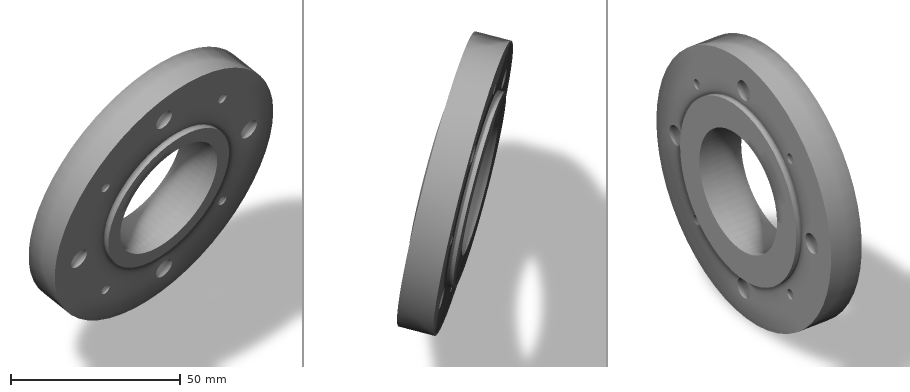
import cadquery as cq

flange_diameter = 90.0
total_thickness = 15.0
boss_height = 2.0
flange_thickness = total_thickness - 2 * boss_height

large_boss_diameter = 59.85
small_boss_diameter = 49.8
bore_diameter = 40.0

hole_count = 4
large_hole_diameter = 6.6
large_hole_circle_diameter = 70.0
small_hole_diameter = 3.3
small_hole_circle_diameter = 68.0
small_hole_start_angle = 45


def disc(diameter, start_x, thickness):
    """Solid disc about the X axis, growing toward +X from start_x."""
    return cq.Workplane("YZ", origin=(start_x, 0, 0)).circle(diameter / 2).extrude(thickness)


def hole_ring(hole_diameter, circle_diameter, start_angle):
    """Equally spaced cutting cylinders running through the full thickness."""
    return (
        cq.Workplane("YZ")
        .polarArray(circle_diameter / 2, start_angle, 360, hole_count)
        .circle(hole_diameter / 2)
        .extrude(total_thickness)
    )


body = disc(large_boss_diameter, 0, boss_height)
body = body.union(disc(flange_diameter, boss_height, flange_thickness))
body = body.union(disc(small_boss_diameter, boss_height + flange_thickness, boss_height))

body = body.cut(disc(bore_diameter, 0, total_thickness))
body = body.cut(hole_ring(large_hole_diameter, large_hole_circle_diameter, 0))
body = body.cut(hole_ring(small_hole_diameter, small_hole_circle_diameter, small_hole_start_angle))

result = body